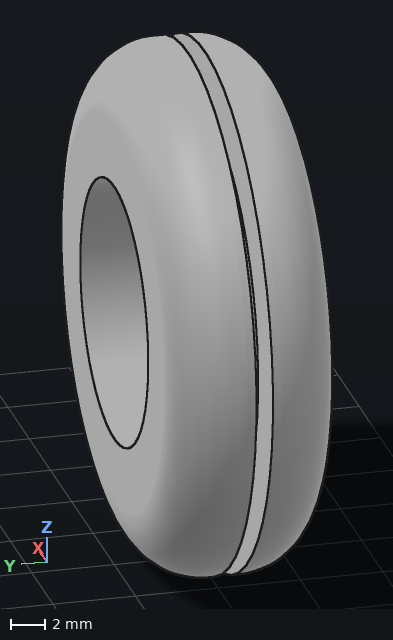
import cadquery as cq

outer_diameter = 32.0
bore_diameter = 16.0
thickness = 10.0
groove_diameter = 25.0
groove_width = 1.0
edge_radius = 4.0


def make_ring(outside, inside, width):
    """Plain ring around the Y axis, centred on the origin."""
    return (
        cq.Workplane("XZ", origin=(0, width / 2, 0))
        .circle(outside / 2)
        .circle(inside / 2)
        .extrude(width)
    )


def round_outer_edges(ring):
    """Round the outer rim on both faces, leaving the bore edges sharp."""
    outer_edges = cq.selectors.RadiusNthSelector(-1)
    return ring.faces("<Y or >Y").edges(outer_edges).fillet(edge_radius)


body = round_outer_edges(make_ring(outer_diameter, bore_diameter, thickness))
panel_groove = make_ring(outer_diameter, groove_diameter, groove_width)

result = body.cut(panel_groove)